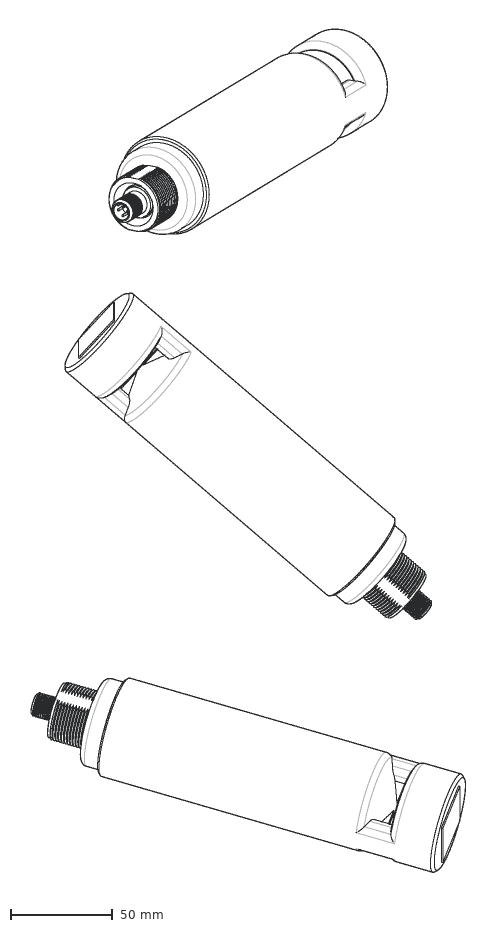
import cadquery as cq
import math


cut_margin = 1.0

surface_tolerance = 0.01

groove_share = 0.9

barrel_radius = 25.25
barrel_bottom = 41.4
barrel_bottom_chamfer = 1.0
cap_top = 216.4
cap_top_chamfer = 1.5
pad_width = 26.0
pad_height = 31.0
pad_thickness = 0.74

cone_apex = 189.2
cone_slope = 0.44
cap_edge = 192.6
boss_radius = 21.6
boss_height = 0.4
boss_taper = 0.6
window_edge_fillet = 3.3
pillar_half_width = 9.6
pillar_inner_x = 14.1
pillar_inner_fillet = 3.0
web_top = 188.0
web_thickness = 3.0

collar_radius = 22.5
collar_bottom = 30.9
collar_fillet = 3.0
stub_bottom = 11.8
stub_radius = 14.75
stub_pitch = 1.5
stub_thread_depth = 0.7
stub_thread_turns = 11
stub_relief_length = 1.5
stub_flat_offset = 13.8

funnel_mouth_radius = 11.2
funnel_floor_radius = 8.6
funnel_depth = 5.0
socket_depth = 3.0

flange_radius = 8.0
flange_rise = 2.0
plug_radius = 6.0
plug_pitch = 1.0
plug_thread_depth = 0.5
plug_thread_turns = 9
plug_thread_start = 1.4
plug_tip_chamfer = 1.2
plug_bore_radius = 4.2
plug_bore_depth = 8.0
pin_count = 4
pin_circle_radius = 2.6
pin_radius = 0.5
pin_length = 6.5
key_width = 1.2
key_height = 0.8
key_angle = 225

cone_rim = cone_apex - cone_slope * barrel_radius
funnel_floor = stub_bottom + funnel_depth
socket_floor = funnel_floor + socket_depth


def turned(points):
    """Revolve a (radius, y) outline about the Y axis."""
    return cq.Workplane("XY").polyline(points).close().revolve(360, (0, 0), (0, 1))


def along_y(start_y):
    """Workplane at a given Y, with its normal toward +Y and local x along X."""
    return cq.Workplane(cq.Plane((0, start_y, 0), (1, 0, 0), (0, 1, 0)))


def thread_grooves(radius, depth, pitch, start_y, turns):
    """V-shaped thread grooves, one ring for each turn."""
    half_mouth = groove_share * pitch / 2
    outside = radius + cut_margin
    rings = []
    for turn in range(turns):
        middle = start_y + (turn + 0.5) * pitch
        ring = turned(
            [
                (radius - depth, middle),
                (radius, middle - half_mouth),
                (outside, middle - half_mouth),
                (outside, middle + half_mouth),
                (radius, middle + half_mouth),
            ]
        )
        rings.append(ring.val())
    return cq.Workplane(cq.Compound.makeCompound(rings))


def make_window():
    """Space around the cone, left open on both sides of two pillars."""
    reach = barrel_radius + cut_margin
    space = turned(
        [
            (0, cone_apex),
            (reach, cone_apex - cone_slope * reach),
            (reach, cap_edge),
            (boss_radius, cap_edge),
            (boss_radius, cap_edge - boss_height),
            (0, cap_edge - boss_height - boss_taper),
        ]
    )
    pillar_length = cap_top - barrel_bottom
    for side in (-1, 1):
        pillar = (
            along_y(barrel_bottom)
            .center(side * (pillar_inner_x + reach / 2), 0)
            .rect(reach, 2 * pillar_half_width)
            .extrude(pillar_length)
            .edges("|Y and " + ("<X" if side > 0 else ">X"))
            .fillet(pillar_inner_fillet)
        )
        space = space.cut(pillar)
    web = cq.Workplane("XY").box(2 * reach, web_top - barrel_bottom, web_thickness)
    return space.cut(web.translate((0, (web_top + barrel_bottom) / 2, 0)))


def lies_on_barrel(edge):
    """True for an edge that stays on the outer surface of the barrel."""
    points = [edge.positionAt(share) for share in (0, 0.3, 0.7, 1)]
    return all(abs(math.hypot(p.x, p.z) - barrel_radius) < surface_tolerance for p in points)


def make_barrel():
    """Capped barrel with the window cut and its outer edges rounded."""
    barrel = along_y(barrel_bottom).circle(barrel_radius).extrude(cap_top - barrel_bottom)
    barrel = barrel.faces(">Y").chamfer(cap_top_chamfer)
    barrel = barrel.faces("<Y").chamfer(barrel_bottom_chamfer)
    barrel = barrel.cut(make_window())
    window_zone = cq.selectors.BoxSelector(
        (-2 * barrel_radius, cone_rim - cut_margin, -2 * barrel_radius),
        (2 * barrel_radius, cap_edge + cut_margin, 2 * barrel_radius),
        boundingbox=True,
    )
    window_edges = [edge for edge in barrel.edges(window_zone).vals() if lies_on_barrel(edge)]
    barrel = barrel.newObject(window_edges).fillet(window_edge_fillet)
    pad = along_y(cap_top).rect(pad_width, pad_height).extrude(pad_thickness)
    return barrel.union(pad)


def make_stub():
    """Threaded mounting stub with two wrench flats and plain reliefs at both ends of the thread."""
    stub = along_y(stub_bottom).circle(stub_radius).extrude(collar_bottom - stub_bottom)
    thread_start = stub_bottom + stub_relief_length
    stub = stub.cut(
        thread_grooves(stub_radius, stub_thread_depth, stub_pitch, thread_start, stub_thread_turns)
    )
    relief_radius = stub_radius - stub_thread_depth
    relief_starts = (stub_bottom, thread_start + stub_thread_turns * stub_pitch)
    relief_ends = (thread_start, collar_bottom)
    for start, end in zip(relief_starts, relief_ends):
        relief = along_y(start).circle(stub_radius + cut_margin).circle(relief_radius)
        stub = stub.cut(relief.extrude(end - start))
    between_flats = cq.Workplane("XY").box(
        4 * stub_radius, 4 * collar_bottom, 2 * stub_flat_offset
    )
    return stub.intersect(between_flats)


def make_housing():
    """Barrel, collar and stub in one body, with a funnel and a socket for the plug."""
    collar = along_y(collar_bottom).circle(collar_radius).extrude(barrel_bottom - collar_bottom)
    collar = collar.faces("<Y").edges().fillet(collar_fillet)
    socket = turned(
        [
            (0, stub_bottom),
            (funnel_mouth_radius, stub_bottom),
            (funnel_floor_radius, funnel_floor),
            (flange_radius, funnel_floor),
            (flange_radius, socket_floor),
            (0, socket_floor),
        ]
    )
    return make_barrel().union(collar).union(make_stub()).cut(socket)


def make_plug():
    """Threaded round plug with a flange seated in the socket, contact pins and a key."""
    flange_front = funnel_floor - flange_rise
    plug = turned(
        [
            (0, 0),
            (plug_radius - plug_tip_chamfer, 0),
            (plug_radius, plug_tip_chamfer),
            (plug_radius, flange_front),
            (flange_radius, flange_front),
            (flange_radius, socket_floor),
            (0, socket_floor),
        ]
    )
    plug = plug.cut(
        thread_grooves(plug_radius, plug_thread_depth, plug_pitch, plug_thread_start, plug_thread_turns)
    )
    plug = plug.cut(along_y(0).circle(plug_bore_radius).extrude(plug_bore_depth))
    pins = (
        along_y(plug_bore_depth - pin_length)
        .polarArray(pin_circle_radius, 0, 360, pin_count)
        .circle(pin_radius)
        .extrude(pin_length)
    )
    key = (
        along_y(plug_bore_depth - pin_length)
        .transformed(rotate=(0, 0, key_angle))
        .center(plug_bore_radius, 0)
        .rect(2 * key_height, key_width)
        .extrude(pin_length)
    )
    return plug.union(pins).union(key)


housing = make_housing()
plug = make_plug()
result = cq.Compound.makeCompound([housing.val(), plug.val()])